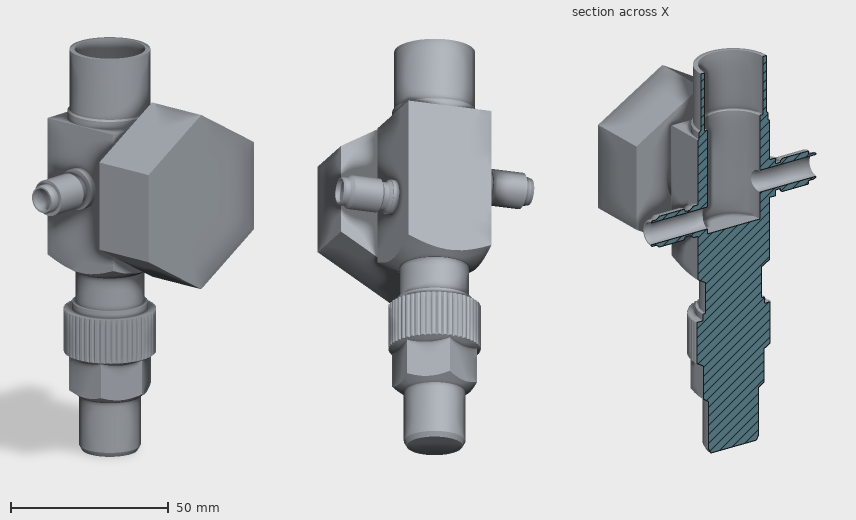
import cadquery as cq
import math


block_width = 28.1
block_bottom = 59.8
block_top = 109.8
block_cone_radius = 11.3
block_cone_angle = 30

socket_top = 132.5
socket_radius = 12.9
socket_bore_radius = 11.3
socket_bore_depth = 20.1
socket_collar_radius = 13.5
socket_collar_height = 2.9
socket_collar_chamfer = 0.5

outlet_height = 89.5
outlet_radius = 13.0
union_start = 18.0
union_end = 39.1
union_across_flats = 50.0

main_bore_radius = 10.1
main_bore_mouth_chamfer = 0.3
main_bore_floor = outlet_height - outlet_radius

stem_radius = 11.0
stem_collar_radius = 12.0
stem_collar_top = 49

knurl_radius = 14.7
knurl_top = 46.8
knurl_bottom = 32.6
knurl_cone_angle = 30
tooth_count = 50
groove_width = 1.0
groove_depth = 0.4

hex_across_flats = 23.7
hex_bottom = 18.0
hex_cone_angle = 35
end_radius = 9.8
end_chamfer_width = 0.9
end_chamfer_height = 1.6

front_port_height = outlet_height
rear_port_height = 81.9
port_reach = 32.2
port_bore_radius = 3.7
front_port_outline = [
    (6.6, 16.3),
    (4.6, 16.3),
    (4.6, 18.2),
    (5.3, 18.2),
    (5.8, 19.0),
    (5.8, 29.3),
    (4.6, 29.3),
    (4.6, 30.9),
    (4.2, port_reach),
]
rear_port_outline = [
    (5.5, 15.9),
    (5.3, 15.9),
    (4.5, 17.0),
    (4.5, 18.7),
    (5.4, 19.3),
    (5.4, 28.9),
    (4.5, 30.1),
    (4.5, 31.7),
    (4.1, port_reach),
]


def cylinder(radius, bottom, top):
    return cq.Workplane("XY").workplane(offset=bottom).circle(radius).extrude(top - bottom)


def hexagon_across_corners(across_flats):
    return across_flats / math.cos(math.radians(30))


def cone_below(prism, bottom, bottom_radius, angle, height):
    """Keep the part of a prism inside a cone that opens upward from its bottom."""
    top_radius = bottom_radius + height / math.tan(math.radians(angle))
    cone = (
        cq.Workplane("XZ")
        .moveTo(0, bottom)
        .lineTo(bottom_radius, bottom)
        .lineTo(top_radius, bottom + height)
        .lineTo(0, bottom + height)
        .close()
        .revolve(360, (0, 0, 0), (0, 1, 0))
    )
    return prism.intersect(cone)


def body_block():
    height = block_top - block_bottom
    block = cq.Workplane("XY").workplane(offset=block_bottom).rect(block_width, block_width).extrude(height)
    return cone_below(block, block_bottom, block_cone_radius, block_cone_angle, height)


def solder_socket():
    collar = cylinder(socket_collar_radius, block_top, block_top + socket_collar_height)
    collar = collar.faces(">Z").chamfer(socket_collar_chamfer)
    return collar.union(cylinder(socket_radius, block_top, socket_top))


def socket_and_main_bore():
    """Stepped bore: the socket, a shoulder with a chamfered edge, then the main bore."""
    shoulder = socket_top - socket_bore_depth
    return (
        cq.Workplane("XZ")
        .moveTo(0, main_bore_floor)
        .lineTo(main_bore_radius, main_bore_floor)
        .lineTo(main_bore_radius, shoulder - main_bore_mouth_chamfer)
        .lineTo(main_bore_radius + main_bore_mouth_chamfer, shoulder)
        .lineTo(socket_bore_radius, shoulder)
        .lineTo(socket_bore_radius, socket_top)
        .lineTo(0, socket_top)
        .close()
        .revolve(360, (0, 0, 0), (0, 1, 0))
    )


def outlet():
    neck = cq.Workplane("YZ").center(0, outlet_height).circle(outlet_radius).extrude(union_start)
    nut = (
        cq.Workplane("YZ", origin=(union_start, 0, outlet_height))
        .transformed(rotate=(0, 0, 90))
        .polygon(6, hexagon_across_corners(union_across_flats))
        .extrude(union_end - union_start)
    )
    return neck.union(nut)


def stem():
    shaft = cylinder(stem_radius, knurl_top, block_bottom)
    return shaft.union(cylinder(stem_collar_radius, knurl_top, stem_collar_top))


def knurled_ring():
    cone_drop = (knurl_radius - end_radius) * math.tan(math.radians(knurl_cone_angle))
    cone_bottom = knurl_bottom - cone_drop
    ring = cylinder(knurl_radius, cone_bottom, knurl_top)
    groove = (
        cq.Workplane("XY")
        .workplane(offset=cone_bottom)
        .moveTo(knurl_radius - groove_depth, 0)
        .lineTo(knurl_radius + groove_depth, groove_width)
        .lineTo(knurl_radius + groove_depth, -groove_width)
        .close()
        .extrude(knurl_top - cone_bottom)
    )
    pitch = 360 / tooth_count
    for tooth in range(tooth_count):
        ring = ring.cut(groove.rotate((0, 0, 0), (0, 0, 1), (tooth + 0.5) * pitch))
    return cone_below(ring, cone_bottom, end_radius, knurl_cone_angle, knurl_top - cone_bottom)


def hexagon():
    height = knurl_bottom - hex_bottom
    prism = (
        cq.Workplane("XY")
        .workplane(offset=hex_bottom)
        .polygon(6, hexagon_across_corners(hex_across_flats))
        .extrude(height)
    )
    return cone_below(prism, hex_bottom, end_radius, hex_cone_angle, height)


def spindle_end():
    return cylinder(end_radius, 0, hex_bottom).faces("<Z").chamfer(end_chamfer_height, end_chamfer_width)


def port(outline, height):
    """Flare port pointing along -Y, turned from its outline."""
    root_radius = outline[0][0]
    profile = [(0, 0), (root_radius, 0)] + outline + [(0, port_reach)]
    turned = cq.Workplane("XY").polyline(profile).close().revolve(360, (0, 0, 0), (0, 1, 0))
    return turned.rotate((0, 0, 0), (0, 0, 1), 180).translate((0, 0, height))


def port_bore(height):
    return cq.Workplane("XZ").center(0, height).circle(port_bore_radius).extrude(port_reach)


def to_rear(shape):
    return shape.rotate((0, 0, 0), (0, 0, 1), 180)


result = body_block()
for piece in (
    solder_socket(),
    outlet(),
    stem(),
    knurled_ring(),
    hexagon(),
    spindle_end(),
    port(front_port_outline, front_port_height),
    to_rear(port(rear_port_outline, rear_port_height)),
):
    result = result.union(piece)

for bore in (
    socket_and_main_bore(),
    port_bore(front_port_height),
    to_rear(port_bore(rear_port_height)),
):
    result = result.cut(bore)